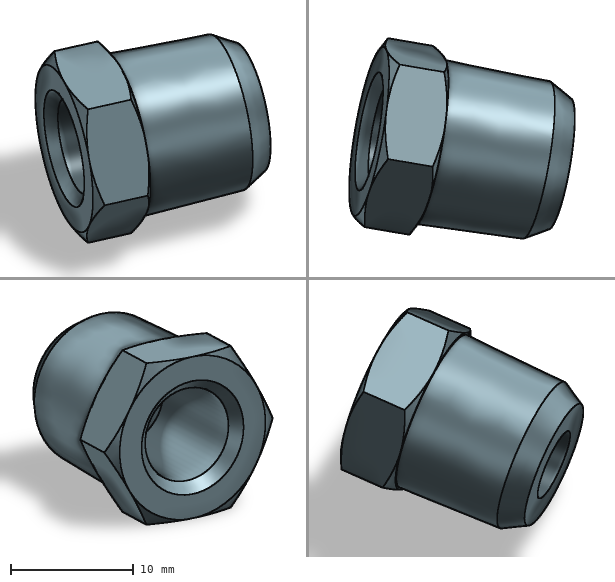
import cadquery as cq
import math

across_corners = 16.17
flat_radius = across_corners / 2 * math.cos(math.radians(30))
head_length = 5.0
total_length = 16.0
corner_chamfer_angle = 30.0

taper_ratio = 1 / 16
shank_root_diameter = 13.65
tip_diameter = 10.88
tip_chamfer_length = 1.95

mouth_diameter = 9.8
bore_diameter = 8.0
through_diameter = 6.0
mouth_half_angle = 45.0
bore_bottom_half_angle = 59.0
bore_depth = 11.0


def revolve_about_axis(profile):
    """Revolve (radius, y) points about the Y axis."""
    return cq.Workplane("XY").polyline(profile).close().revolve(360, (0, 0, 0), (0, 1, 0))


def make_head():
    """Hexagonal prism with both ends of its corners turned conically."""
    corner_radius = across_corners / 2
    chamfer_length = (corner_radius - flat_radius) * math.tan(math.radians(corner_chamfer_angle))
    hexagon = cq.Workplane("XZ").polygon(6, across_corners).extrude(-head_length)
    envelope = revolve_about_axis([
        (0, 0),
        (flat_radius, 0),
        (corner_radius, chamfer_length),
        (corner_radius, head_length - chamfer_length),
        (flat_radius, head_length),
        (0, head_length),
    ])
    return hexagon.intersect(envelope)


def make_shank():
    """Cone tapering away from the head, with a steeper cone at its tip."""
    taper_end = total_length - tip_chamfer_length
    taper_end_diameter = shank_root_diameter - (taper_end - head_length) * taper_ratio
    return revolve_about_axis([
        (0, head_length),
        (shank_root_diameter / 2, head_length),
        (taper_end_diameter / 2, taper_end),
        (tip_diameter / 2, total_length),
        (0, total_length),
    ])


def make_bore():
    """Countersunk bore with a conical bottom leading into the through hole."""
    mouth_radius = mouth_diameter / 2
    bore_radius = bore_diameter / 2
    through_radius = through_diameter / 2
    mouth_depth = (mouth_radius - bore_radius) / math.tan(math.radians(mouth_half_angle))
    bottom_length = (bore_radius - through_radius) / math.tan(math.radians(bore_bottom_half_angle))
    return revolve_about_axis([
        (0, 0),
        (mouth_radius, 0),
        (bore_radius, mouth_depth),
        (bore_radius, bore_depth),
        (through_radius, bore_depth + bottom_length),
        (through_radius, total_length),
        (0, total_length),
    ])


result = make_head().union(make_shank()).cut(make_bore())